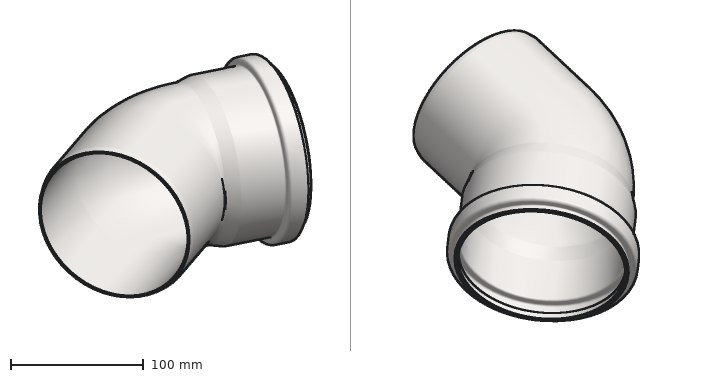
import cadquery as cq
import math

pipe_radius = 125.1 / 2
bore_radius = 119.5 / 2
spigot_length = 67.0
spigot_chamfer_length = 5.0
spigot_chamfer_depth = 1.2
bend_angle = 45
bend_radius = 60.0

socket_radius = 131.7 / 2
socket_bore_radius = 126.1 / 2
collar_radius = 144.5 / 2
groove_radius = 138.7 / 2

taper_start = 2.0
taper_end = 13.6
collar_start = 50.0
collar_end = 66.2
groove_start = 52.4
groove_end = 63.5
socket_length = 70.7

collar_fillet = 2.7
collar_root_fillet = 1.0
groove_fillet = 1.6
groove_mouth_fillet = 1.6
mouth_chamfer = 0.8

SMALLEST = 0
LARGEST = -1


def turned(points):
    """Revolve an open (radius, height) outline, closed along the Y axis."""
    outline = [(0, points[0][1])] + points + [(0, points[-1][1])]
    return cq.Workplane("XY").polyline(outline).close().revolve(360, (0, 0), (0, 1))


def bend(radius):
    """Bend of a round bar, trimmed where the bar would cross the turning axis."""
    section = cq.Workplane("XZ", origin=(0, spigot_length, 0))
    if radius > bend_radius:
        half_height = math.sqrt(radius**2 - bend_radius**2)
        section = (
            section.moveTo(bend_radius, half_height)
            .threePointArc((-radius, 0), (bend_radius, -half_height))
            .close()
        )
    else:
        section = section.circle(radius)
    return section.revolve(bend_angle, (bend_radius, 2), (bend_radius, 0))


def at_bend_end(body):
    """Move a body turned about the Y axis onto the end of the bend."""
    angle = math.radians(bend_angle)
    x = bend_radius * (1 - math.cos(angle))
    y = spigot_length + bend_radius * math.sin(angle)
    return body.rotate((0, 0, 0), (0, 0, 1), -bend_angle).translate((x, y, 0))


def round_ring(body, height, ring, fillet):
    """Round the smallest or largest circular edge at one height of a turned body."""
    reach = 2 * collar_radius
    tolerance = 0.02
    level = cq.selectors.BoxSelector(
        (-reach, height - tolerance, -reach),
        (reach, height + tolerance, reach),
        boundingbox=True,
    )
    edge = body.edges(level).edges(cq.selectors.RadiusNthSelector(ring))
    return edge.fillet(fillet)


spigot = turned([
    (pipe_radius - spigot_chamfer_depth, 0),
    (pipe_radius, spigot_chamfer_length),
    (pipe_radius, spigot_length),
])
spigot_bore = turned([(bore_radius, 0), (bore_radius, spigot_length)])

socket = turned([
    (pipe_radius, 0),
    (pipe_radius, taper_start),
    (socket_radius, taper_end),
    (socket_radius, socket_length - mouth_chamfer),
    (socket_radius - mouth_chamfer, socket_length),
])
collar = turned([(collar_radius, collar_start), (collar_radius, collar_end)])
socket = socket.union(collar)
for height in (collar_start, collar_end):
    socket = round_ring(socket, height, LARGEST, collar_fillet)
    socket = round_ring(socket, height, SMALLEST, collar_root_fillet)

socket_bore = turned([
    (bore_radius, 0),
    (bore_radius, taper_start),
    (socket_bore_radius, taper_end),
    (socket_bore_radius, groove_start),
    (groove_radius, groove_start),
    (groove_radius, groove_end),
    (socket_bore_radius, groove_end),
    (socket_bore_radius, socket_length - mouth_chamfer),
    (socket_bore_radius + mouth_chamfer, socket_length),
])
for height in (groove_start, groove_end):
    socket_bore = round_ring(socket_bore, height, LARGEST, groove_fillet)
    socket_bore = round_ring(socket_bore, height, SMALLEST, groove_mouth_fillet)

outside = spigot.union(bend(pipe_radius)).union(at_bend_end(socket))
inside = spigot_bore.union(bend(bore_radius)).union(at_bend_end(socket_bore))
result = outside.cut(inside)